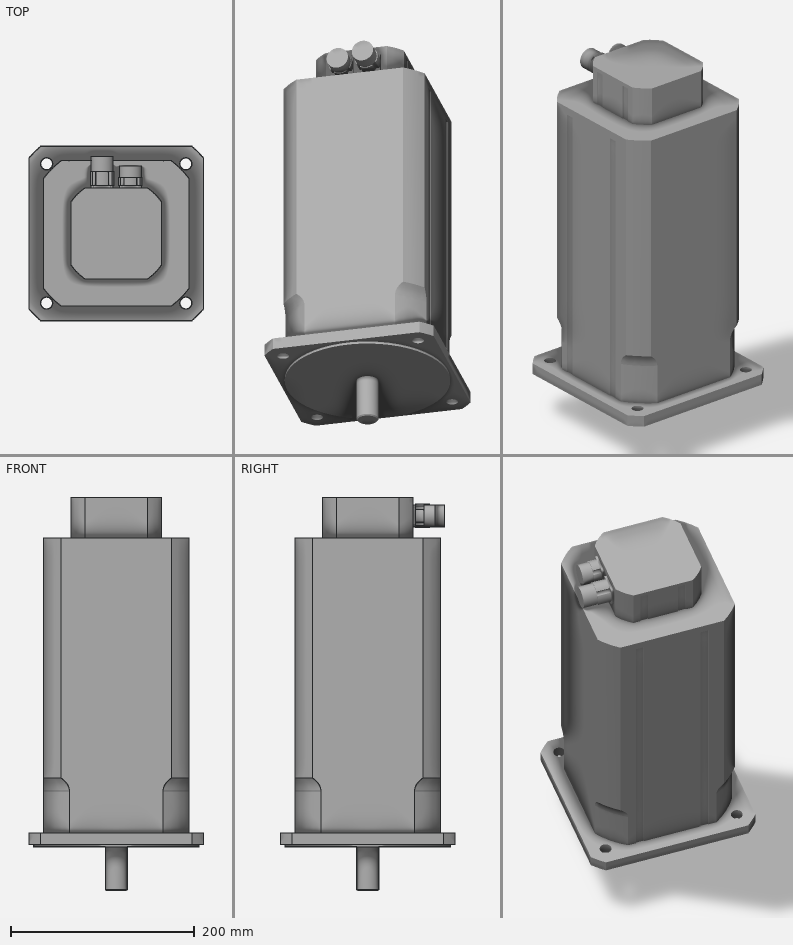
import cadquery as cq
import math


total_height = 428.0
pilot_bottom = 47.5
pilot_height = 2.5
flange_thickness = 13.0
cover_height = 44.0
flange_bottom = pilot_bottom + pilot_height
flange_top = flange_bottom + flange_thickness
frame_top = total_height - cover_height

shaft_diameter = 24.0
shaft_chamfer = 1.3
pilot_diameter = 180.0

flange_width = 190.0
flange_flat = 164.5
frame_width = 158.5
frame_flat = 120.0
cover_width = 99.0
cover_flat = 68.5

hole_diameter = 13.0
hole_spacing = 151.5

relief_flat = 102.0
relief_height = 45.5
relief_runout = 14.0

groove_width = 9.0
groove_depth = 1.0
frame_groove_spacing = 74.5
frame_groove_top_margin = 9.0
cover_groove_spacing = 43.5
cover_groove_top_margin = 4.3

connector_z = total_height - 20.0
connector_base_width = 24.0
connector_base_length = 2.5
connector_base_corner = 2.5
nut_diameter = 25.5
barrel_diameter = 24.0
flute_diameter = 5.0
flute_count = 4
first_flute_angle = 45
power_connector = (-15.5, 15.5, 16.3)
signal_connector = (15.5, 9.0, 12.5)


def corner_radius(width, flat):
    """Radius of the axis-centred circle that cuts a square so that this flat remains."""
    return math.hypot(width, flat) / 2


def round_cornered_block(width, flat, bottom, height):
    """Square block whose corners lie on one cylinder around the motor axis."""
    square = cq.Workplane("XY").workplane(offset=bottom).rect(width, width).extrude(height)
    cylinder = cq.Workplane("XY").workplane(offset=bottom).circle(corner_radius(width, flat)).extrude(height)
    return square.intersect(cylinder)


def corner_relief():
    """Ring that trims the lower frame corners and runs out upward in a concave arc."""
    inner = corner_radius(frame_width, relief_flat)
    outer = corner_radius(frame_width, frame_flat)
    step = outer - inner
    runout_radius = (relief_runout**2 + step**2) / (2 * step)
    straight_top = flange_top + relief_height
    half_angle = math.asin(relief_runout / runout_radius) / 2
    arc_middle = (
        inner + runout_radius * (1 - math.cos(half_angle)),
        straight_top + runout_radius * math.sin(half_angle),
    )
    clear = frame_width
    return (
        cq.Workplane("XZ")
        .moveTo(inner, flange_top)
        .lineTo(inner, straight_top)
        .threePointArc(arc_middle, (outer, straight_top + relief_runout))
        .lineTo(clear, straight_top + relief_runout)
        .lineTo(clear, flange_top)
        .close()
        .revolve(360, (0, 0, 0), (0, 1, 0))
    )


def side_grooves(width, spacing, bottom, top):
    """Pair of vertical grooves in the -X face of a section of the given width."""
    return (
        cq.Workplane("XY")
        .workplane(offset=bottom)
        .pushPoints([(-width / 2, -spacing / 2), (-width / 2, spacing / 2)])
        .rect(2 * groove_depth, groove_width)
        .extrude(top - bottom)
    )


def make_motor():
    """Shaft, pilot, flange, frame and cover as one solid."""
    shaft = cq.Workplane("XY").circle(shaft_diameter / 2).extrude(flange_bottom)
    shaft = shaft.faces("<Z").chamfer(shaft_chamfer)

    pilot = cq.Workplane("XY").workplane(offset=pilot_bottom).circle(pilot_diameter / 2).extrude(pilot_height)

    flange = round_cornered_block(flange_width, flange_flat, flange_bottom, flange_thickness)

    frame = round_cornered_block(frame_width, frame_flat, flange_top, frame_top - flange_top)
    frame = frame.cut(corner_relief())
    frame_groove_top = frame_top - frame_groove_top_margin
    frame = frame.cut(side_grooves(frame_width, frame_groove_spacing, flange_top, frame_groove_top))

    cover = round_cornered_block(cover_width, cover_flat, frame_top, cover_height)
    cover_groove_top = total_height - cover_groove_top_margin
    cover = cover.cut(side_grooves(cover_width, cover_groove_spacing, frame_top, cover_groove_top))

    holes = (
        cq.Workplane("XY")
        .workplane(offset=pilot_bottom)
        .rect(hole_spacing, hole_spacing, forConstruction=True)
        .vertices()
        .circle(hole_diameter / 2)
        .extrude(flange_top - pilot_bottom)
    )
    return shaft.union(pilot).union(flange).union(frame).union(cover).cut(holes)


def make_connector(x, nut_length, barrel_length):
    """Square base, fluted nut and plain barrel pointing along +Y from the cover."""
    nut_start = connector_base_length
    barrel_start = nut_start + nut_length

    base = cq.Workplane("XY").rect(connector_base_width, connector_base_width).extrude(connector_base_length)
    base = base.edges("|Z").fillet(connector_base_corner)

    flutes = (
        cq.Workplane("XY")
        .workplane(offset=nut_start)
        .polarArray(nut_diameter / 2, first_flute_angle, 360, flute_count)
        .circle(flute_diameter / 2)
        .extrude(nut_length)
    )
    nut = cq.Workplane("XY").workplane(offset=nut_start).circle(nut_diameter / 2).extrude(nut_length)
    nut = nut.cut(flutes)

    barrel = cq.Workplane("XY").workplane(offset=barrel_start)
    barrel = barrel.circle(barrel_diameter / 2).extrude(barrel_length)

    connector = base.union(nut).union(barrel)
    return connector.rotate((0, 0, 0), (1, 0, 0), -90).translate((x, cover_width / 2, connector_z))


motor = make_motor()
connectors = [make_connector(*sizes) for sizes in (power_connector, signal_connector)]

result = cq.Compound.makeCompound([motor.val(), *[connector.val() for connector in connectors]])